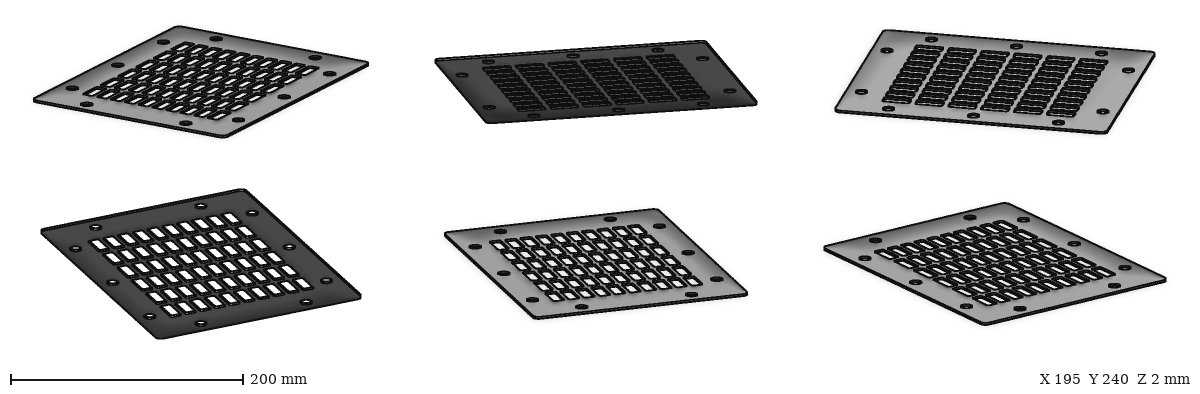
import cadquery as cq

plate_width = 195.0
plate_length = 240.0
plate_thickness = 2.0
plate_corner_radius = 5.0

columns = 10
rows = 6
grille_width = 136.0
grille_length = 169.0
window_width = 10.0
window_length = 24.0
window_corner_radius = 2.0
column_pitch = (grille_width - window_width) / (columns - 1)
row_pitch = (grille_length - window_length) / (rows - 1)

hole_diameter = 10.0
hole_edge_distance = 13.5
end_hole_spacing = 100.0
side_hole_span = 150.0
end_hole_y = plate_length / 2 - hole_edge_distance
side_hole_x = plate_width / 2 - hole_edge_distance


def make_plate():
    """Flat rectangular plate with rounded corners."""
    plate = cq.Workplane("XY").box(plate_width, plate_length, plate_thickness)
    return plate.edges("|Z").fillet(plate_corner_radius)


def make_windows():
    """Cutters for the grille windows."""
    return (
        cq.Workplane("XY")
        .rarray(column_pitch, row_pitch, columns, rows)
        .box(window_width, window_length, plate_thickness)
        .edges("|Z")
        .fillet(window_corner_radius)
    )


def mounting_hole_centers():
    """Two holes along each end and three along each side."""
    centers = []
    for side in (-1, 1):
        for step in (-1, 1):
            centers.append((step * end_hole_spacing / 2, side * end_hole_y))
        for step in (-1, 0, 1):
            centers.append((side * side_hole_x, step * side_hole_span / 2))
    return centers


def drill_mounting_holes(body):
    """Plain through holes around the border of the plate."""
    top_face = body.faces(">Z").workplane(origin=(0, 0, 0))
    return top_face.pushPoints(mounting_hole_centers()).hole(hole_diameter)


grille_plate = make_plate().cut(make_windows())
result = drill_mounting_holes(grille_plate)